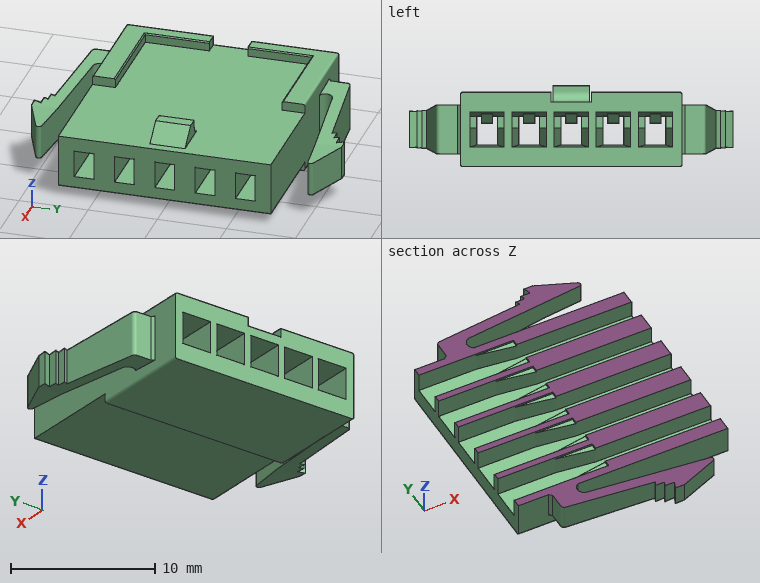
import cadquery as cq
import math

LENGTH = 16.45
BODY_WIDTH = 15.36
COLLAR_LENGTH = 8.2
COLLAR_HEIGHT = 5.15
COLLAR_STEP = 0.67
COLLAR_EDGE = 0.168
MID_Z = COLLAR_HEIGHT / 2
DECK_Z = COLLAR_HEIGHT - COLLAR_STEP
SIDE_Y = BODY_WIDTH / 2

SIDE_RIB_WIDTH = 1.65
FRONT_RIB_WIDTH = 0.99
RIB_EDGE = 0.1
RIB_GAP = 2.78
PICK_MARGIN = 0.02

LATCH_WIDTH = 2.53
LATCH_TOP_Z = 5.6
LATCH_CATCH_X = 13.55
LATCH_CREST_X = 14.38
LATCH_END_X = 15.77
LATCH_CATCH_Z = 5.23
LATCH_ROOT_RADIUS = 0.76

CAVITY_COUNT = 5
CAVITY_PITCH = 2.92
MOUTH_WIDTH = 2.38
MOUTH_HEIGHT = 2.45
MOUTH_DEPTH = 4.49
MOUTH_FLOOR_Z = MID_Z - MOUTH_HEIGHT / 2
MOUTH_ROOF_Z = MID_Z + MOUTH_HEIGHT / 2
THROAT_LENGTH = 2.92
THROAT_END_X = MOUTH_DEPTH + THROAT_LENGTH
ROOF_RAMP_LENGTH = 1.45
ROOF_RAMP_END_X = MOUTH_DEPTH + ROOF_RAMP_LENGTH
CHEEK_TOP_Z = 2.7
BORE_WIDTH = 1.41
BORE_FLOOR_Z = 1.5
BORE_ROOF_Z = 3.48

LANCE_WIDTH = 0.79
LANCE_LENGTH = 0.9
LANCE_ROOT_X = ROOF_RAMP_END_X - LANCE_LENGTH
LANCE_ROOT_Z = 3.65
LANCE_TIP_Z = 3.0

SPAN = 22.43
ARM_FRONT_X = 2.58
ARM_SHOULDER_Y = 9.3
ARM_SHOULDER_RADIUS = 0.3
ARM_ROOT_FLARE = (0.22, 0.2)
ARM_OUTER_END = (9.47, 10.03)
TOOTH_TIPS = ((9.33, 10.35), (9.9, 10.68), (10.43, SPAN / 2))
TOOTH_ROOTS_X = (10.03, 10.63)
HEAD_X = 11.15
HEAD_POINT = (14.83, 9.71)
TIP_RADIUS = 0.213
RELIEF_CENTRE = (4.91, 8.15)
RELIEF_RADIUS = 0.52
ARM_ROOT_HEIGHT = 3.4
HEAD_HEIGHT = 2.45
ARM_EMBED = 0.22


def box(x0, x1, y0, y1, z0, z1):
    """Axis-aligned block between two corners."""
    return cq.Workplane("XY").box(x1 - x0, y1 - y0, z1 - z0, centered=False).translate((x0, y0, z0))


def make_body():
    """Collar with L-shaped ribs around a recessed deck, joined to the thinner mating block."""
    collar = box(0, COLLAR_LENGTH, -SIDE_Y, SIDE_Y, 0, COLLAR_HEIGHT).edges("|X").fillet(COLLAR_EDGE)
    mating_block = box(0, LENGTH, -SIDE_Y, SIDE_Y, COLLAR_STEP, DECK_Z)

    recess_y = SIDE_Y - SIDE_RIB_WIDTH
    recess = box(FRONT_RIB_WIDTH, COLLAR_LENGTH, -recess_y, recess_y, DECK_Z, COLLAR_HEIGHT)
    inner_rim = cq.selectors.BoxSelector(
        (FRONT_RIB_WIDTH - PICK_MARGIN, -recess_y - PICK_MARGIN, COLLAR_HEIGHT - PICK_MARGIN),
        (COLLAR_LENGTH, recess_y + PICK_MARGIN, COLLAR_HEIGHT + PICK_MARGIN),
    )
    collar = collar.cut(recess).edges(inner_rim).chamfer(RIB_EDGE)

    gap = box(0, FRONT_RIB_WIDTH, -RIB_GAP / 2, RIB_GAP / 2, DECK_Z, COLLAR_HEIGHT)
    return collar.cut(gap).union(mating_block)


def make_latch():
    """Catch with a concave root on the wire side and a ramp on the mating side."""
    arc_centre_x = LATCH_CATCH_X - LATCH_ROOT_RADIUS
    foot_angle = math.asin((LATCH_CATCH_Z - DECK_Z) / LATCH_ROOT_RADIUS)

    def root_point(angle):
        return (
            arc_centre_x + LATCH_ROOT_RADIUS * math.cos(angle),
            LATCH_CATCH_Z - LATCH_ROOT_RADIUS * math.sin(angle),
        )

    return (
        cq.Workplane("XZ")
        .moveTo(*root_point(foot_angle))
        .threePointArc(root_point(foot_angle / 2), root_point(0))
        .lineTo(LATCH_CATCH_X, LATCH_TOP_Z)
        .lineTo(LATCH_CREST_X, LATCH_TOP_Z)
        .lineTo(LATCH_END_X, DECK_Z)
        .close()
        .extrude(LATCH_WIDTH / 2, both=True)
    )


def make_cavity():
    """Through-cavity at Y = 0: square mouth, tapered throat with a locking lance, narrow bore."""
    half_mouth = MOUTH_WIDTH / 2
    half_bore = BORE_WIDTH / 2
    cavity = (
        cq.Workplane("XZ")
        .moveTo(0, MOUTH_FLOOR_Z)
        .lineTo(MOUTH_DEPTH, MOUTH_FLOOR_Z)
        .lineTo(THROAT_END_X, BORE_FLOOR_Z)
        .lineTo(THROAT_END_X, BORE_ROOF_Z)
        .lineTo(ROOF_RAMP_END_X, BORE_ROOF_Z)
        .lineTo(MOUTH_DEPTH, MOUTH_ROOF_Z)
        .lineTo(0, MOUTH_ROOF_Z)
        .close()
        .extrude(half_mouth, both=True)
    )
    for side in (1, -1):
        cheek = (
            cq.Workplane("XY", origin=(0, 0, MOUTH_FLOOR_Z))
            .moveTo(MOUTH_DEPTH, side * half_mouth)
            .lineTo(THROAT_END_X, side * half_mouth)
            .lineTo(THROAT_END_X, side * half_bore)
            .close()
            .extrude(CHEEK_TOP_Z - MOUTH_FLOOR_Z)
        )
        cavity = cavity.cut(cheek)
    lance = (
        cq.Workplane("XZ")
        .moveTo(ROOF_RAMP_END_X, LANCE_TIP_Z)
        .lineTo(ROOF_RAMP_END_X, MOUTH_ROOF_Z)
        .lineTo(LANCE_ROOT_X, MOUTH_ROOF_Z)
        .lineTo(LANCE_ROOT_X, LANCE_ROOT_Z)
        .close()
        .extrude(LANCE_WIDTH / 2, both=True)
    )
    bore = box(THROAT_END_X, LENGTH, -half_bore, half_bore, BORE_FLOOR_Z, BORE_ROOF_Z)
    return cavity.cut(lance).union(bore)


def make_arm():
    """Spring arm on the +Y side, barbed outside and thinning in height towards its head."""
    flare_x = ARM_FRONT_X - ARM_ROOT_FLARE[0]
    relief_x, relief_y = RELIEF_CENTRE

    run = HEAD_POINT[0] - relief_x
    rise = HEAD_POINT[1] - relief_y
    flank_angle = math.atan2(rise, run) - math.asin(RELIEF_RADIUS / math.hypot(run, rise))
    relief_top = (
        relief_x - RELIEF_RADIUS * math.sin(flank_angle),
        relief_y + RELIEF_RADIUS * math.cos(flank_angle),
    )
    relief_left = (relief_x - RELIEF_RADIUS, relief_y)
    relief_foot_x = relief_x - math.sqrt(RELIEF_RADIUS**2 - (relief_y - SIDE_Y) ** 2)

    arm = (
        cq.Workplane("XY")
        .moveTo(flare_x, SIDE_Y - ARM_EMBED)
        .lineTo(flare_x, SIDE_Y)
        .lineTo(ARM_FRONT_X, SIDE_Y + ARM_ROOT_FLARE[1])
        .lineTo(ARM_FRONT_X, ARM_SHOULDER_Y)
        .lineTo(*ARM_OUTER_END)
        .lineTo(*TOOTH_TIPS[0])
        .lineTo(TOOTH_ROOTS_X[0], TOOTH_TIPS[0][1])
        .lineTo(*TOOTH_TIPS[1])
        .lineTo(TOOTH_ROOTS_X[1], TOOTH_TIPS[1][1])
        .lineTo(*TOOTH_TIPS[2])
        .lineTo(HEAD_X, SPAN / 2)
        .lineTo(*HEAD_POINT)
        .lineTo(*relief_top)
        .threePointArc(relief_left, (relief_foot_x, SIDE_Y))
        .lineTo(relief_foot_x, SIDE_Y - ARM_EMBED)
        .close()
        .extrude(COLLAR_HEIGHT)
    )
    shoulder = cq.NearestToPointSelector((ARM_FRONT_X, ARM_SHOULDER_Y, MID_Z))
    arm = arm.edges(shoulder).fillet(ARM_SHOULDER_RADIUS)
    tip = cq.NearestToPointSelector((*HEAD_POINT, MID_Z))
    arm = arm.edges(tip).fillet(TIP_RADIUS)

    half_root = ARM_ROOT_HEIGHT / 2
    half_head = HEAD_HEIGHT / 2
    height_profile = (
        cq.Workplane("XZ", origin=(0, 0, MID_Z))
        .moveTo(0, -half_root)
        .lineTo(ARM_FRONT_X, -half_root)
        .lineTo(HEAD_X, -half_head)
        .lineTo(LENGTH, -half_head)
        .lineTo(LENGTH, half_head)
        .lineTo(HEAD_X, half_head)
        .lineTo(ARM_FRONT_X, half_root)
        .lineTo(0, half_root)
        .close()
        .extrude(SPAN / 2, both=True)
    )
    return arm.intersect(height_profile)


arm = make_arm()
result = make_body().union(make_latch()).union(arm).union(arm.mirror("XZ"))

cavity = make_cavity()
for index in range(CAVITY_COUNT):
    cavity_y = (index - (CAVITY_COUNT - 1) / 2) * CAVITY_PITCH
    result = result.cut(cavity.translate((0, cavity_y, 0)))